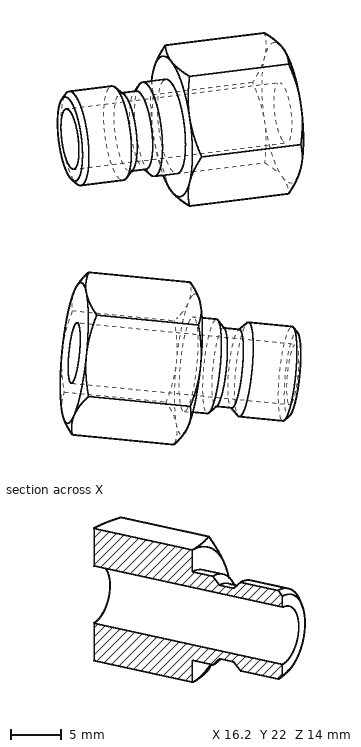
import cadquery as cq
import math

total_length = 22.0
hex_length = 11.5
stem_length = total_length - hex_length

across_flats = 14.0
across_corners = across_flats / math.cos(math.radians(30))
corner_chamfer_angle = 30.0
corner_clearance = 0.22

stem_radius = 9.4 / 2
groove_radius = 7.8 / 2
bore_radius = 6.0 / 2
tip_chamfer = 0.5

groove_start = 4.9
groove_floor_start = 5.75
groove_floor_end = 7.35
groove_end = 8.12


def revolve_about_y(profile):
    """Turn a closed (radius, Y) outline around the Y axis."""
    return cq.Workplane("XY").polyline(profile).close().revolve(360, (0, 0, 0), (0, 1, 0))


def make_hex():
    """Hexagonal body with its corners turned down at both ends."""
    prism = (
        cq.Workplane("XZ", origin=(0, total_length, 0))
        .polygon(6, across_corners)
        .extrude(hex_length)
    )
    end_radius = across_flats / 2
    envelope_radius = across_corners / 2 + corner_clearance
    chamfer_length = (envelope_radius - end_radius) * math.tan(math.radians(corner_chamfer_angle))
    envelope = revolve_about_y([
        (0, stem_length),
        (end_radius, stem_length),
        (envelope_radius, stem_length + chamfer_length),
        (envelope_radius, total_length - chamfer_length),
        (end_radius, total_length),
        (0, total_length),
    ])
    return prism.intersect(envelope)


def make_stem():
    """Round stem with a chamfered tip and a groove with sloping sides."""
    return revolve_about_y([
        (0, 0),
        (stem_radius - tip_chamfer, 0),
        (stem_radius, tip_chamfer),
        (stem_radius, groove_start),
        (groove_radius, groove_floor_start),
        (groove_radius, groove_floor_end),
        (stem_radius, groove_end),
        (stem_radius, stem_length),
        (0, stem_length),
    ])


def make_bore():
    """Straight bore through the full length."""
    return cq.Workplane("XZ", origin=(0, total_length, 0)).circle(bore_radius).extrude(total_length)


result = make_hex().union(make_stem()).cut(make_bore())